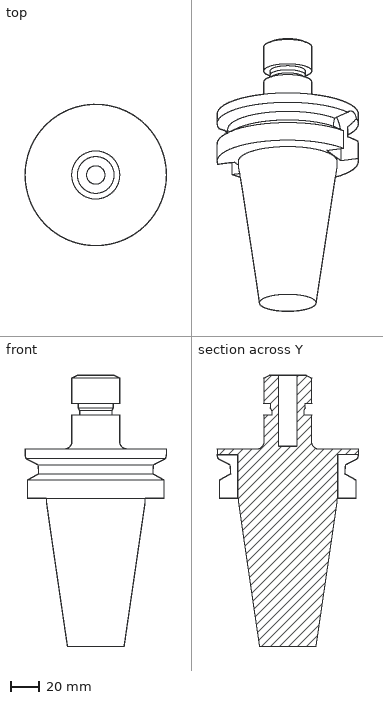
import cadquery as cq
import math


gauge_diameter = 69.85
taper_ratio = 7 / 24
taper_length = 101.8
gauge_radius = gauge_diameter / 2
taper_end_radius = gauge_radius - taper_length * taper_ratio / 2

flange_radius = 50.0
flange_bottom = 3.0
flange_top = 38.0
groove_floor_radius = 42.5
groove_mouth_bottom = 16.0
groove_mouth_top = 31.0
groove_flank_angle = 30.0
flank_height = (flange_radius - groove_floor_radius) * math.tan(math.radians(groove_flank_angle))

slot_width = 25.7
slot_floor_distance = 35.4
slot_arch_height = 20.85
slot_radius = slot_width / 2

spindle_radius = 17.0
root_fillet = 5.0
spindle_top = 62.0

lower_neck_radius = 11.5
lower_neck_top = 65.0
upper_neck_radius = 12.5
upper_neck_bottom = 67.0

nut_bottom = 70.0
nut_top = 90.0
nut_radius = 17.0
nut_chamfer_width = 4.0
nut_chamfer_height = 2.0

bore_radius = 6.5
bore_depth = 50.0


def make_turned_body():
    """Revolve the half profile of shank, flange, spindle and nut about Z."""
    root_radius = spindle_radius + root_fillet
    fillet_mid_offset = root_fillet * (1 - math.sqrt(0.5))
    fillet_middle = (spindle_radius + fillet_mid_offset, flange_top + fillet_mid_offset)
    return (
        cq.Workplane("XZ")
        .moveTo(0, -taper_length)
        .lineTo(taper_end_radius, -taper_length)
        .lineTo(gauge_radius, 0)
        .lineTo(gauge_radius, flange_bottom)
        .lineTo(flange_radius, flange_bottom)
        .lineTo(flange_radius, groove_mouth_bottom)
        .lineTo(groove_floor_radius, groove_mouth_bottom + flank_height)
        .lineTo(groove_floor_radius, groove_mouth_top - flank_height)
        .lineTo(flange_radius, groove_mouth_top)
        .lineTo(flange_radius, flange_top)
        .lineTo(root_radius, flange_top)
        .threePointArc(fillet_middle, (spindle_radius, flange_top + root_fillet))
        .lineTo(spindle_radius, spindle_top)
        .lineTo(lower_neck_radius, spindle_top)
        .lineTo(lower_neck_radius, lower_neck_top)
        .lineTo(upper_neck_radius, upper_neck_bottom)
        .lineTo(upper_neck_radius, nut_bottom)
        .lineTo(nut_radius, nut_bottom)
        .lineTo(nut_radius, nut_top - nut_chamfer_height)
        .lineTo(nut_radius - nut_chamfer_width, nut_top)
        .lineTo(0, nut_top)
        .close()
        .revolve(360, (0, 0, 0), (0, 1, 0))
    )


def make_drive_slot(side):
    """Round-ended slot cutter, open downward; side is +1 or -1 along X."""
    slot_depth = flange_radius - slot_floor_distance
    return (
        cq.Workplane("YZ", origin=(side * slot_floor_distance, 0, 0))
        .moveTo(-slot_radius, flange_bottom)
        .lineTo(slot_radius, flange_bottom)
        .lineTo(slot_radius, slot_arch_height)
        .threePointArc((0, slot_arch_height + slot_radius), (-slot_radius, slot_arch_height))
        .close()
        .extrude(side * slot_depth)
    )


def make_bore():
    """Blind tool bore, open at the nut face."""
    return (
        cq.Workplane("XY", origin=(0, 0, nut_top - bore_depth))
        .circle(bore_radius)
        .extrude(bore_depth)
    )


result = make_turned_body()
for slot_side in (-1, 1):
    result = result.cut(make_drive_slot(slot_side))
result = result.cut(make_bore())